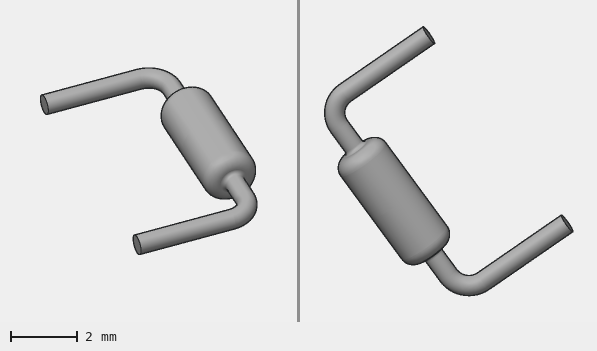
import cadquery as cq

overall_width = 7.73
overall_depth = 4.65

body_diameter = 1.68
body_length = 3.92
body_edge_radius = 0.39

lead_diameter = 0.61
bend_radius = 0.75
collar_radius = 0.12

body_radius = body_diameter / 2
lead_radius = lead_diameter / 2
half_body = body_length / 2
lead_x = overall_width / 2 - lead_radius
lead_end_y = body_radius - overall_depth


def make_body():
    """Rounded cylinder centred on the origin."""
    cylinder = cq.Workplane("YZ").circle(body_radius).extrude(half_body, both=True)
    return cylinder.edges("%CIRCLE").fillet(body_edge_radius)


def make_lead():
    """Wire running from the body centre along +X, then bent toward -Y."""
    path = (
        cq.Workplane("XY")
        .lineTo(lead_x - bend_radius, 0)
        .radiusArc((lead_x, -bend_radius), bend_radius)
        .lineTo(lead_x, lead_end_y)
    )
    return cq.Workplane("YZ").circle(lead_radius).sweep(path)


def make_collar():
    """Concave flare blending the +X end of the body into its lead."""
    flare_end = half_body + collar_radius
    flare_radius = lead_radius + collar_radius
    return (
        cq.Workplane("XY")
        .moveTo(half_body, 0)
        .lineTo(half_body, flare_radius)
        .radiusArc((flare_end, lead_radius), -collar_radius)
        .lineTo(flare_end, 0)
        .close()
        .revolve(360, (0, 0, 0), (1, 0, 0))
    )


lead_with_collar = make_lead().union(make_collar())
result = make_body().union(lead_with_collar).union(lead_with_collar.mirror("YZ"))